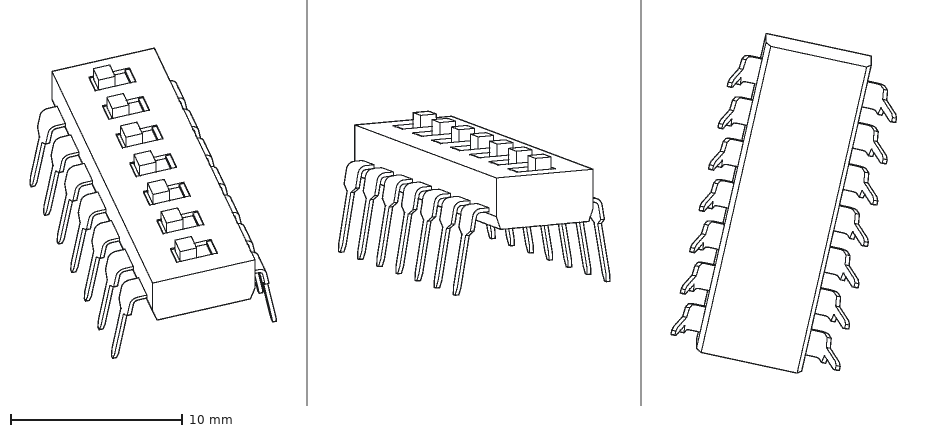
import cadquery as cq
import math

body_length = 18.82
overall_width = 10.09
overall_height = 7.8

body_width = 6.3
body_height = 3.09
taper_height = 0.79
taper_inset = 0.28

switch_count = 7
switch_pitch = 2.55
row_center_x = -0.047

slot_width = 1.2
slot_length = 2.48
ledge_length = 0.28
ledge_depth = 0.1
floor_depth = 0.3

knob_side = 1.02
knob_height = 0.7

lead_thickness = 0.25
lead_width = 1.55
shank_width = 0.5
tip_width = 0.25
lead_top_drop = 1.94
shoulder_drop = 3.24
neck_drop = 3.58
tip_length = 0.45
bend_radius = 0.53
lead_splay = math.radians(10)
lead_embed = 0.19

lead_top = body_height - lead_top_drop
tip_bottom = body_height + knob_height - overall_height
row_start_x = row_center_x - switch_pitch * (switch_count - 1) / 2
switch_positions = [(row_start_x + i * switch_pitch, 0) for i in range(switch_count)]


def make_body():
    """Long block whose lower side walls taper inward."""
    half_width = body_width / 2
    half_bottom = half_width - taper_inset
    section = [
        (-half_bottom, 0),
        (half_bottom, 0),
        (half_width, taper_height),
        (half_width, body_height),
        (-half_width, body_height),
        (-half_width, taper_height),
    ]
    return cq.Workplane("YZ").polyline(section).close().extrude(body_length / 2, both=True)


def cut_slots(body):
    """Cut the shallow slots, then the deeper floors between their end ledges."""
    floor_length = slot_length - 2 * ledge_length
    for length, depth in ((slot_length, ledge_depth), (floor_length, floor_depth)):
        pockets = (
            cq.Workplane("XY", origin=(0, 0, body_height - depth))
            .pushPoints(switch_positions)
            .rect(slot_width, length)
            .extrude(depth)
        )
        body = body.cut(pockets)
    return body


def make_knobs():
    """Knobs standing on the slot floors, each with one face on the centerline y = 0."""
    return (
        cq.Workplane("XY", origin=(0, -knob_side / 2, body_height - floor_depth))
        .pushPoints(switch_positions)
        .rect(knob_side, knob_side)
        .extrude(floor_depth + knob_height)
    )


def lead_side_profile():
    """Bent strip in the YZ plane: flat run out of the +Y wall, bend, splayed leg."""
    center_z = lead_top - bend_radius
    leg_drop = center_z + bend_radius * math.sin(lead_splay) - tip_bottom
    leg_run = leg_drop * math.tan(lead_splay)
    center_y = overall_width / 2 - leg_run - bend_radius * math.cos(lead_splay)
    mid_angle = (math.pi / 2 + lead_splay) / 2

    def arc_point(radius, angle):
        return (center_y + radius * math.cos(angle), center_z + radius * math.sin(angle))

    def leg_end(radius):
        y, z = arc_point(radius, lead_splay)
        return (y + (z - tip_bottom) * math.tan(lead_splay), tip_bottom)

    inner_radius = bend_radius - lead_thickness
    start_y = body_width / 2 - lead_embed
    return (
        cq.Workplane("YZ")
        .moveTo(start_y, lead_top)
        .lineTo(center_y, lead_top)
        .threePointArc(arc_point(bend_radius, mid_angle), arc_point(bend_radius, lead_splay))
        .lineTo(*leg_end(bend_radius))
        .lineTo(*leg_end(inner_radius))
        .lineTo(*arc_point(inner_radius, lead_splay))
        .threePointArc(arc_point(inner_radius, mid_angle), (center_y, lead_top - lead_thickness))
        .lineTo(start_y, lead_top - lead_thickness)
        .close()
    )


def make_lead():
    """One +Y lead at x = 0: the bent strip trimmed to its shoulder, shank and tip."""
    shoulder_z = body_height - shoulder_drop
    neck_z = body_height - neck_drop
    right_edge = [
        (lead_width / 2, lead_top),
        (lead_width / 2, shoulder_z),
        (shank_width / 2, neck_z),
        (shank_width / 2, tip_bottom + tip_length),
        (tip_width / 2, tip_bottom),
    ]
    left_edge = [(-x, z) for x, z in reversed(right_edge)]
    outline = (
        cq.Workplane("XZ")
        .polyline(right_edge + left_edge)
        .close()
        .extrude(-overall_width)
    )
    strip = lead_side_profile().extrude(lead_width / 2, both=True)
    return strip.intersect(outline)


result = cut_slots(make_body()).union(make_knobs())
back_lead = make_lead()
front_lead = back_lead.mirror("XZ")
for x, y in switch_positions:
    for lead in (back_lead, front_lead):
        result = result.union(lead.translate((x, y, 0)))